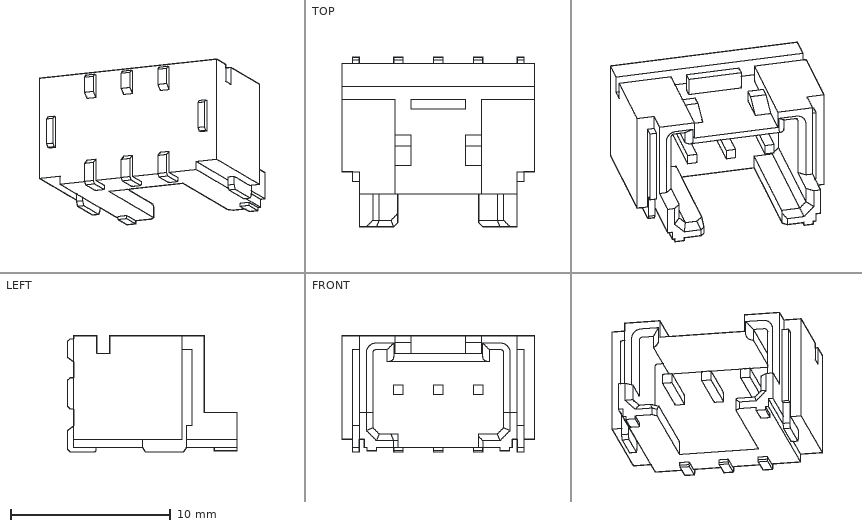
import cadquery as cq
import math


top_z = 7.3
housing_width = 12.1
shroud_width = 9.9
base_width = 9.3
base_bottom_z = 0.28
side_bottom_z = 0.8
side_front_y = -6.8
shroud_front_y = -8.2
leg_front_y = -10.25
leg_top_z = 2.5

cavity_width = 8.2
cavity_floor_z = 1.13
cavity_ceiling_z = 6.43
cavity_back_y = -2.85
cavity_corner_radius = 0.2
cavity_corner_bevel = 0.4
mouth_chamfer = 0.41
floor_slot_width = 5.05
leg_tip_chamfer = 0.27

roof_block_width = 6.4
roof_block_bottom_z = 5.7
roof_edge_radius = 0.27
channel_floor_z = 6.2
centre_channel_width = 5.4
cross_channel_rear_y = -1.45
cross_channel_front_y = -2.25

rib_width = 3.4
rib_top_z = 7.3
latch_width = 1.0
latch_rear_y = -4.49
latch_ramp_start_y = -5.18
latch_ramp_end_y = -6.41
latch_top_z = 6.87

foot_inner_x = 3.87
foot_width = 0.6
foot_length = 1.45
foot_bottom_z = 0.08

terminal_count = 3
pitch = 2.5
terminal_size = 0.6
pin_centre_z = 3.9
pin_tip_y = -6.87
rear_projection = 0.4
tail_front_y = -1.41
tail_nose = 0.1
tail_slope_low_z = 1.35
tail_slope_high_z = 1.65
upper_tab_low_z = 5.65
upper_tab_step_z = 5.95
upper_tab_top_z = 7.11
tab_chamfer = 0.18

retainer_thickness = 0.43
retainer_rear_y = -4.32
retainer_foot_front_y = -7.08
retainer_stem_front_y = -7.41
retainer_step_z = 1.66
retainer_top_z = 6.43
retainer_rear_bevel = 0.17
retainer_front_bevel = 0.2
rear_tab_low_z = 2.7
rear_tab_high_z = 4.67

embed_depth = 0.5


def box(x0, x1, y0, y1, z0, z1):
    """Axis-aligned block between two opposite corners."""
    return cq.Workplane("XY").box(x1 - x0, y1 - y0, z1 - z0, centered=False).translate((x0, y0, z0))


def centred_box(width, y0, y1, z0, z1):
    """Axis-aligned block symmetric about the YZ plane."""
    return box(-width / 2, width / 2, y0, y1, z0, z1)


def side_profile(points, x_start, thickness):
    """Extrude a (y, z) outline along +X from x_start."""
    return cq.Workplane("YZ", origin=(x_start, 0, 0)).polyline(points).close().extrude(thickness)


def mirrored(solid):
    """A solid together with its mirror image across the YZ plane."""
    return solid.union(solid.mirror("YZ"))


def cavity_outline(y, growth):
    """Cavity section at depth y, offset outwards by growth: rounded on top, bevelled below."""
    half = cavity_width / 2 + growth
    floor = cavity_floor_z - growth
    ceiling = cavity_ceiling_z + growth
    radius = cavity_corner_radius + growth
    bevel = cavity_corner_bevel + growth * (2 - math.sqrt(2))
    inset = radius * (1 - math.sqrt(0.5))
    return (
        cq.Workplane("XZ", origin=(0, y, 0))
        .moveTo(-half + bevel, floor)
        .lineTo(half - bevel, floor)
        .lineTo(half, floor + bevel)
        .lineTo(half, ceiling - radius)
        .threePointArc((half - inset, ceiling - inset), (half - radius, ceiling))
        .lineTo(-half + radius, ceiling)
        .threePointArc((-half + inset, ceiling - inset), (-half, ceiling - radius))
        .lineTo(-half, floor + bevel)
        .close()
    )


def cavity(front_y):
    """Straight cavity that flares at 45 degrees where it meets the front plane."""
    throat_y = front_y + mouth_chamfer
    straight = cavity_outline(cavity_back_y, 0).extrude(cavity_back_y - throat_y)
    throat_wire = cavity_outline(throat_y, 0).val()
    mouth_wire = cavity_outline(front_y, mouth_chamfer).val()
    flare = cq.Workplane(cq.Solid.makeLoft([throat_wire, mouth_wire], True))
    return straight.union(flare)


def roof_block():
    """Thick middle of the roof, bevelled at the sides and rounded along its lower front edge."""
    block = centred_box(roof_block_width, shroud_front_y, cavity_back_y, roof_block_bottom_z, top_z)
    block = block.faces("<Y").edges("|Z").chamfer(mouth_chamfer)
    return block.faces("<Y").edges("<Z").fillet(roof_edge_radius)


def upper_shroud():
    shell = centred_box(shroud_width, shroud_front_y, 0, leg_top_z, top_z)
    return shell.cut(cavity(shroud_front_y)).union(roof_block())


def left_leg_tip_bevel():
    """45-degree bevel along the top of the left leg's tip corner."""
    slot_x = -floor_slot_width / 2
    corner_face = cq.Plane(
        origin=(slot_x - leg_tip_chamfer / 2, leg_front_y + leg_tip_chamfer / 2, cavity_floor_z),
        xDir=(1, -1, 0),
        normal=(-1, -1, 0),
    )
    cutter_half_length = 2 * mouth_chamfer
    return (
        cq.Workplane(corner_face)
        .polyline([(-mouth_chamfer, 0), (0, -mouth_chamfer), (mouth_chamfer, 0)])
        .close()
        .extrude(cutter_half_length, both=True)
    )


def lower_shroud():
    """Base of the housing with two legs reaching forward beside the open floor slot."""
    base = centred_box(base_width, leg_front_y, 0, base_bottom_z, side_bottom_z)
    walls = centred_box(shroud_width, leg_front_y, 0, side_bottom_z, leg_top_z)
    lower = base.union(walls).cut(cavity(leg_front_y))
    half_slot = floor_slot_width / 2
    slot_outline = [
        (half_slot, cavity_back_y),
        (half_slot, leg_front_y + leg_tip_chamfer),
        (half_slot + leg_tip_chamfer, leg_front_y),
        (-half_slot - leg_tip_chamfer, leg_front_y),
        (-half_slot, leg_front_y + leg_tip_chamfer),
        (-half_slot, cavity_back_y),
    ]
    slot = cq.Workplane("XY").polyline(slot_outline).close().extrude(leg_top_z)
    return lower.cut(slot).cut(left_leg_tip_bevel())


def cut_top_channels(body):
    cross = centred_box(housing_width, cross_channel_front_y, cross_channel_rear_y, channel_floor_z, top_z)
    centre = centred_box(centre_channel_width, shroud_front_y, cross_channel_rear_y, channel_floor_z, top_z)
    return body.cut(cross).cut(centre)


def channel_rib():
    return centred_box(rib_width, cavity_back_y, cross_channel_front_y, channel_floor_z, rib_top_z)


def latch_ramps():
    """Ramped stops against both side walls of the centre channel."""
    outline = [
        (latch_rear_y, channel_floor_z),
        (latch_rear_y, latch_top_z),
        (latch_ramp_start_y, latch_top_z),
        (latch_ramp_end_y, channel_floor_z),
    ]
    return mirrored(side_profile(outline, centre_channel_width / 2 - latch_width, latch_width))


def feet():
    foot = box(
        foot_inner_x, foot_inner_x + foot_width,
        leg_front_y, leg_front_y + foot_length,
        foot_bottom_z, base_bottom_z,
    )
    return mirrored(foot)


def terminal(x):
    """Contact pin in the cavity, with a rear upper tab and a solder tail under the base."""
    half = terminal_size / 2
    x_start = x - half
    pin = box(
        x_start, x + half,
        pin_tip_y, cavity_back_y + embed_depth,
        pin_centre_z - half, pin_centre_z + half,
    )
    upper_tab = side_profile(
        [
            (-embed_depth, upper_tab_low_z),
            (0, upper_tab_low_z),
            (rear_projection, upper_tab_step_z),
            (rear_projection, upper_tab_top_z - tab_chamfer),
            (rear_projection - tab_chamfer, upper_tab_top_z),
            (-embed_depth, upper_tab_top_z),
        ],
        x_start, terminal_size,
    )
    tail = side_profile(
        [
            (-embed_depth, tail_slope_high_z),
            (0, tail_slope_high_z),
            (rear_projection, tail_slope_low_z),
            (rear_projection, tab_chamfer),
            (rear_projection - tab_chamfer, 0),
            (tail_front_y + tail_nose, 0),
            (tail_front_y, tail_nose),
            (tail_front_y, base_bottom_z),
            (-embed_depth, base_bottom_z),
        ],
        x_start, terminal_size,
    )
    return pin.union(upper_tab).union(tail)


def retainers():
    """Solder plates lying against the shroud, with feet below the side blocks."""
    x_start = shroud_width / 2
    plate = side_profile(
        [
            (retainer_rear_y, retainer_top_z),
            (retainer_rear_y, base_bottom_z),
            (retainer_rear_y - retainer_rear_bevel, 0),
            (retainer_foot_front_y + retainer_front_bevel, 0),
            (retainer_foot_front_y, base_bottom_z),
            (retainer_foot_front_y, retainer_step_z),
            (retainer_stem_front_y, retainer_step_z),
            (retainer_stem_front_y, retainer_top_z),
        ],
        x_start, retainer_thickness,
    )
    rear_tab = side_profile(
        [
            (-embed_depth, rear_tab_low_z),
            (rear_projection - tab_chamfer, rear_tab_low_z),
            (rear_projection, rear_tab_low_z + tab_chamfer),
            (rear_projection, rear_tab_high_z - tab_chamfer),
            (rear_projection - tab_chamfer, rear_tab_high_z),
            (-embed_depth, rear_tab_high_z),
        ],
        x_start, retainer_thickness,
    )
    return mirrored(plate.union(rear_tab))


def side_blocks():
    block = box(shroud_width / 2, housing_width / 2, side_front_y, 0, side_bottom_z, top_z)
    return mirrored(block)


housing = upper_shroud().union(lower_shroud()).union(side_blocks())
housing = cut_top_channels(housing)
housing = housing.union(channel_rib()).union(latch_ramps()).union(feet())

result = housing.union(retainers())
for index in range(terminal_count):
    terminal_x = (index - (terminal_count - 1) / 2) * pitch
    result = result.union(terminal(terminal_x))